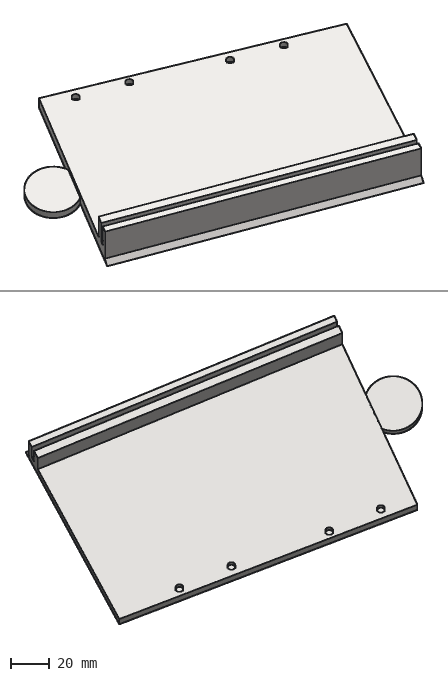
import cadquery as cq
import math

WEST = (0, 79.0)
NORTH = (122.4, 192.6)
EAST = (201.3, 120.8)
SOUTH = (77.3, 0)

TOTAL_HEIGHT = 25.0
BASE_HEIGHT = 8.0

TOE_WIDTH = 3.5
TOE_HEIGHT = 2.5
WALL_THICKNESS = 10.5
SLOT_OFFSET = 6.0
SLOT_WIDTH = 2.5
SLOT_FLOOR = 9.5

DISC_CENTER = (31.8, 30.2)
DISC_DIAMETER = 30.2
DISC_HEIGHT = 5.0

HOLE_DIAMETER = 4.2
HOLE_DEPTH = 4.0
HOLE_CENTERS = [(17.0, 88.0), (37.6, 108.9), (78.3, 144.7), (99.2, 165.6)]

run_x = EAST[0] - SOUTH[0]
run_y = EAST[1] - SOUTH[1]
edge_length = math.hypot(run_x, run_y)
EXTRUSION_LENGTH = 2 * edge_length


def profile_plane():
    """Section plane centred on the edge; local x points into the base."""
    return cq.Plane(
        origin=((SOUTH[0] + EAST[0]) / 2, (SOUTH[1] + EAST[1]) / 2, 0),
        xDir=(-run_y, run_x, 0),
        normal=(run_x, run_y, 0),
    )


def make_plate_and_wall():
    """Trim the constant wall section to the skewed footprint."""
    wall_inner = TOE_WIDTH + WALL_THICKNESS
    section = [
        (0, 0),
        (TOE_WIDTH, TOE_HEIGHT),
        (TOE_WIDTH, TOTAL_HEIGHT),
        (wall_inner, TOTAL_HEIGHT),
        (wall_inner, BASE_HEIGHT),
        (edge_length, BASE_HEIGHT),
        (edge_length, 0),
    ]
    profile = (
        cq.Workplane(profile_plane()).polyline(section).close()
        .extrude(EXTRUSION_LENGTH / 2, both=True)
    )
    footprint = (
        cq.Workplane("XY").polyline([WEST, NORTH, EAST, SOUTH]).close()
        .extrude(TOTAL_HEIGHT)
    )
    return footprint.intersect(profile)


def make_slot():
    """Lengthwise slot, open at the top and at both wall ends."""
    slot_center = TOE_WIDTH + SLOT_OFFSET - SLOT_WIDTH / 2
    slot_depth = TOTAL_HEIGHT - SLOT_FLOOR
    return (
        cq.Workplane(profile_plane())
        .center(slot_center, SLOT_FLOOR + slot_depth / 2)
        .rect(SLOT_WIDTH, slot_depth)
        .extrude(EXTRUSION_LENGTH / 2, both=True)
    )


def make_holes():
    """Blind holes sunk from the top of the base."""
    return (
        cq.Workplane("XY").workplane(offset=BASE_HEIGHT - HOLE_DEPTH)
        .pushPoints(HOLE_CENTERS).circle(HOLE_DIAMETER / 2).extrude(HOLE_DEPTH)
    )


disc = (
    cq.Workplane("XY").center(*DISC_CENTER)
    .circle(DISC_DIAMETER / 2).extrude(DISC_HEIGHT)
)

result = make_plate_and_wall().cut(make_slot()).cut(make_holes()).union(disc)